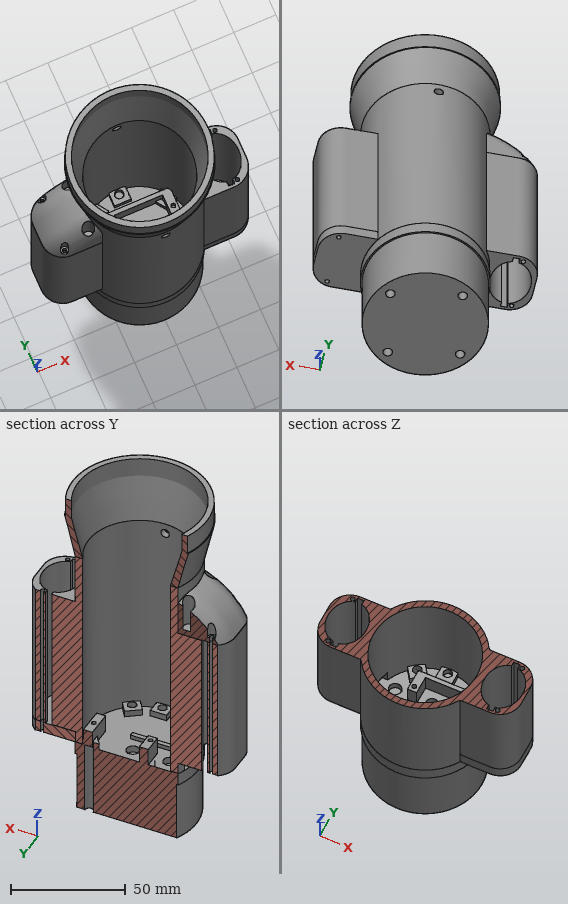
import cadquery as cq
import math

total_height = 169.5
collar_bottom = 29.7
floor_level = 36.0
pod_bottom = 41.5
pod_top = 114.0
head_bottom = 139.1
rim_bottom = 160.0

tail_radius = 55.2 / 2
tube_radius = 56.6 / 2
bore_radius = 49.8 / 2
flare_top_radius = 66.0 / 2
rim_radius = 65.0 / 2
rim_bore_radius = 59.6 / 2

pod_reach = 97.8 / 2
pod_half_width = 14.7
pod_corner = 10.2
pod_screw_x = 41.2
pod_screw_y = 12.2
pod_screw_diameter = 1.9
pocket_x = 38.0
pocket_half_length = 9.2
pocket_half_width = 11.4
notch_width = 2.9
notch_length = 26.8

pin_hole_diameter = 4.0
pin_hole_level = 133.9
window_width = 19.3

dome_axis_x = -13.0
dome_axis_z = 96.8
dome_radius = 39.7
dome_corner_depth = 8.6
dome_seat_level = 117.0
screw_head_diameter = 3.5
dome_rear_hole_x = -29.3
dome_rear_hole_y = 10.8
dome_rear_hole_diameter = 5.5

boss_width = 8.0
boss_inner_radius = 18.3
boss_height = 3.0
boss_hole_radius = 22.4
boss_hole_diameter = 4.0
through_boss_angles = [35, 125, 215, 305]
blind_boss_angles = [90, 270]
recess_diameter = 6.0
recess_depth = 3.4
recess_places = [(-18.0, 6.8), (0, 6.8)]
rib_left = -17.6
rib_right = 4.5
rib_front = -2.0
rib_back = 0.0
rib_height = 2.0
bracket_left = -10.7
bracket_right = 21.0
bracket_back = 15.0
bracket_bar = 2.0
bracket_leg = 4.4
bracket_long_leg_end = 0.0
bracket_short_leg_end = 4.2
bracket_height = 8.5
bracket_hole_diameter = 2.0
bracket_hole_depth = 3.4
bracket_hole_y = 6.8
bracket_hole_inset = 2.0


def cylinder(radius, bottom, top, x=0, y=0):
    return cq.Workplane("XY", origin=(x, y, bottom)).circle(radius).extrude(top - bottom)


def block(x_min, x_max, y_min, y_max, bottom, top):
    corner = (x_min, y_min, bottom)
    outline = cq.Workplane("XY", origin=corner).rect(x_max - x_min, y_max - y_min, centered=False)
    return outline.extrude(top - bottom)


def pod_prism(side, bottom, top):
    """Pod outline from the tube axis outwards; side is +1 for +X and -1 for -X."""
    ends = sorted([0, side * pod_reach])
    prism = block(*ends, -pod_half_width, pod_half_width, bottom, top)
    outer_edges = "|Z and >X" if side > 0 else "|Z and <X"
    return prism.edges(outer_edges).fillet(pod_corner)


def pod_screw_holes(side, diameter, bottom, top):
    places = [(side * pod_screw_x, y) for y in (-pod_screw_y, pod_screw_y)]
    outlines = cq.Workplane("XY", origin=(0, 0, bottom)).pushPoints(places).circle(diameter / 2)
    return outlines.extrude(top - bottom)


def pod_pocket(side):
    """Oval pocket with a cable notch on each flank, open at both ends of the pod."""
    plane = cq.Workplane("XY", origin=(side * pocket_x, 0, pod_bottom))
    height = pod_top - pod_bottom
    oval = plane.ellipse(pocket_half_length, pocket_half_width).extrude(height)
    return oval.union(plane.rect(notch_width, notch_length).extrude(height))


def build_housing():
    """Tube with a pod on each side."""
    housing = cylinder(tube_radius, floor_level, head_bottom)
    for side in (-1, 1):
        housing = housing.union(pod_prism(side, pod_bottom, pod_top))
    housing = housing.cut(cylinder(bore_radius, floor_level, head_bottom))
    for side in (-1, 1):
        housing = housing.cut(pod_pocket(side))
        housing = housing.cut(pod_screw_holes(side, pod_screw_diameter, pod_bottom, pod_top))
    pin_hole = (
        cq.Workplane("XZ", origin=(0, 0, pin_hole_level))
        .circle(pin_hole_diameter / 2)
        .extrude(tube_radius, both=True)
    )
    window = block(-tube_radius, 0, -window_width / 2, window_width / 2, floor_level, pod_bottom)
    return housing.cut(pin_hole).cut(window)


def build_head():
    """Flared ring with a straight rim."""
    profile = [
        (bore_radius, head_bottom),
        (tube_radius, head_bottom),
        (flare_top_radius, rim_bottom),
        (rim_radius, rim_bottom),
        (rim_radius, total_height),
        (rim_bore_radius, total_height),
        (rim_bore_radius, rim_bottom),
    ]
    return cq.Workplane("XZ").polyline(profile).close().revolve(360, (0, 0, 0), (0, 1, 0))


def build_dome():
    """Cover of the -X pod: a band with oval shoulders, turned about an axis along Y."""
    flat_half_width = pod_half_width - pod_corner
    shoulder_radius = dome_radius - dome_corner_depth
    diagonal = math.sqrt(0.5)
    shoulder_y = flat_half_width + pod_corner * diagonal
    shoulder_r = shoulder_radius + dome_corner_depth * diagonal
    band = (
        cq.Workplane("XY", origin=(dome_axis_x, 0, dome_axis_z))
        .moveTo(0, -pod_half_width)
        .lineTo(-shoulder_radius, -pod_half_width)
        .spline(
            [(-shoulder_r, -shoulder_y), (-dome_radius, -flat_half_width)],
            tangents=[(-1, 0), (0, 1)],
            includeCurrent=True,
        )
        .lineTo(-dome_radius, flat_half_width)
        .spline(
            [(-shoulder_r, shoulder_y), (-shoulder_radius, pod_half_width)],
            tangents=[(0, 1), (1, 0)],
            includeCurrent=True,
        )
        .lineTo(0, pod_half_width)
        .close()
        .revolve(180, (0, 0, 0), (0, 1, 0))
    )
    dome_top = dome_axis_z + dome_radius
    dome = band.intersect(block(-pod_reach, 0, -pod_half_width, pod_half_width, pod_top, dome_top))
    dome = dome.cut(cylinder(tube_radius, pod_top, dome_top))
    dome = dome.cut(pod_screw_holes(-1, pod_screw_diameter, pod_top, dome_top))
    dome = dome.cut(pod_screw_holes(-1, screw_head_diameter, dome_seat_level, dome_top))
    for y in (-dome_rear_hole_y, dome_rear_hole_y):
        rear_hole = cylinder(dome_rear_hole_diameter / 2, dome_seat_level, dome_top, dome_rear_hole_x, y)
        dome = dome.cut(rear_hole)
    return dome


def build_pod_cap():
    """Plate that closes the bottom of the +X pod."""
    cap = pod_prism(1, floor_level, pod_bottom).cut(cylinder(tube_radius, floor_level, pod_bottom))
    return cap.cut(pod_screw_holes(1, pod_screw_diameter, floor_level, pod_bottom))


def tail_boss(angle):
    """Square boss that runs out to the tube bore."""
    boss_top = floor_level + boss_height
    blank = block(boss_inner_radius, tube_radius, -boss_width / 2, boss_width / 2, floor_level, boss_top)
    return blank.rotate((0, 0, 0), (0, 0, 1), angle).intersect(cylinder(bore_radius, floor_level, boss_top))


def tail_boss_hole(angle, bottom):
    x = boss_hole_radius * math.cos(math.radians(angle))
    y = boss_hole_radius * math.sin(math.radians(angle))
    return cylinder(boss_hole_diameter / 2, bottom, floor_level + boss_height, x, y)


def tail_bracket():
    """U-shaped bracket with one short leg and a screw hole in each leg."""
    top = floor_level + bracket_height
    bar = block(bracket_left, bracket_right, bracket_back - bracket_bar, bracket_back, floor_level, top)
    short_leg = block(
        bracket_left, bracket_left + bracket_leg, bracket_short_leg_end, bracket_back, floor_level, top
    )
    long_leg = block(
        bracket_right - bracket_leg, bracket_right, bracket_long_leg_end, bracket_back, floor_level, top
    )
    bracket = bar.union(short_leg).union(long_leg).intersect(cylinder(bore_radius, floor_level, top))
    for x in (bracket_left + bracket_hole_inset, bracket_right - bracket_hole_inset):
        hole = cylinder(bracket_hole_diameter / 2, top - bracket_hole_depth, top, x, bracket_hole_y)
        bracket = bracket.cut(hole)
    return bracket


def build_tail():
    """Plug with a collar; its top is the floor of the tube and carries the fittings."""
    tail = cylinder(tail_radius, 0, collar_bottom).union(cylinder(tube_radius, collar_bottom, floor_level))
    for angle in through_boss_angles + blind_boss_angles:
        tail = tail.union(tail_boss(angle))
    for angle in through_boss_angles:
        tail = tail.cut(tail_boss_hole(angle, 0))
    for angle in blind_boss_angles:
        tail = tail.cut(tail_boss_hole(angle, floor_level))
    for x, y in recess_places:
        tail = tail.cut(cylinder(recess_diameter / 2, floor_level - recess_depth, floor_level, x, y))
    rib = block(rib_left, rib_right, rib_front, rib_back, floor_level, floor_level + rib_height)
    return tail.union(rib).union(tail_bracket())


housing = build_housing()
head = build_head()
dome = build_dome()
pod_cap = build_pod_cap()
tail = build_tail()

result = cq.Compound.makeCompound([housing.val(), head.val(), dome.val(), pod_cap.val(), tail.val()])